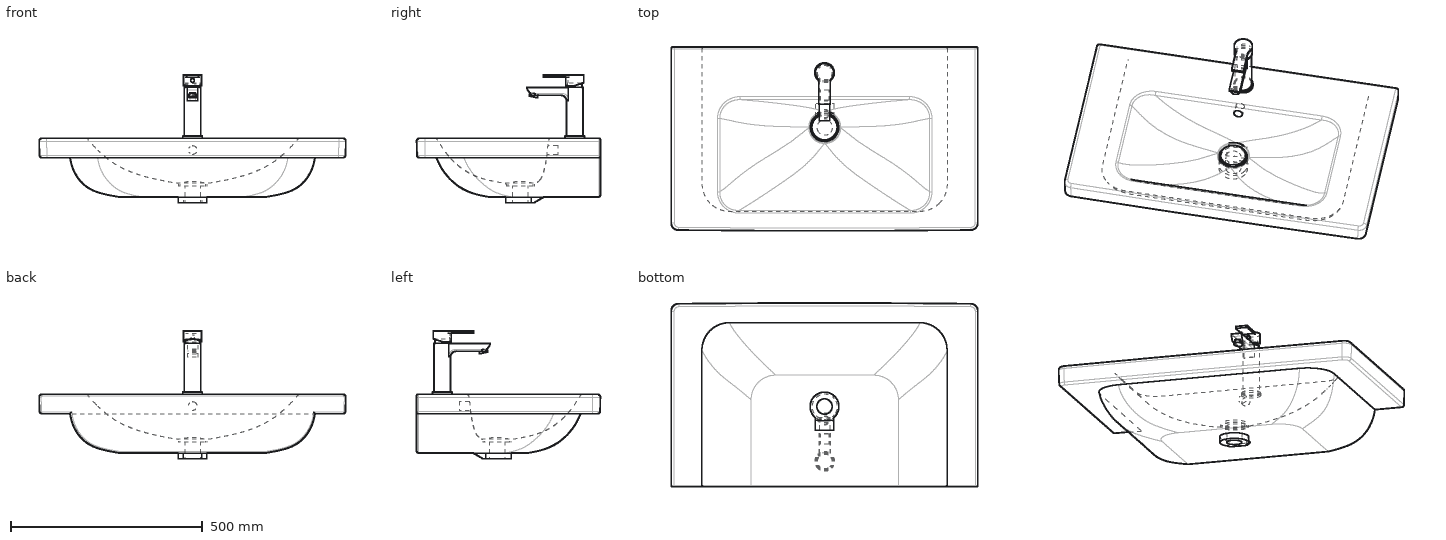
import cadquery as cq
import math


deck_width = 800.0
deck_depth = 480.0
deck_height = 51.0
front_bow = 2.5
deck_corner_radius = 19.0
deck_taper = 1.5
deck_top_round = 8.0
deck_bottom_round = 6.5
wall_edge_round = 5.0

shell_sections = [
    (40.0, 321.0, 432.0, 72.0),
    (90.5, 307.0, 406.5, 72.0),
    (124.0, 280.0, 373.0, 72.0),
    (142.5, 244.0, 338.5, 68.0),
    (154.0, 192.0, 292.0, 64.0),
]
shell_depth = shell_sections[-1][0]

bowl_sections = [
    (0.0, 276.0, 136.0, 428.0, 50.0),
    (32.0, 246.5, 139.0, 408.0, 52.0),
    (64.0, 207.0, 143.0, 380.0, 56.0),
    (88.0, 160.0, 149.0, 348.0, 56.0),
    (104.0, 108.0, 155.0, 312.0, 52.0),
    (117.0, 42.0, 168.0, 251.0, 41.0),
]
bowl_depth = bowl_sections[-1][0]
bowl_rim_round = 8.0

overflow_radius = 11.0
overflow_depth = 30.5
overflow_back = 112.0
overflow_length = 40.0

drain_y = -210.0
drain_boss_radius = 38.0
drain_boss_depth = 169.0
drain_ramp_start = 147.0
drain_ramp_end = 174.0
drain_ramp_width = 48.0
drain_mouth_radius = 37.0
drain_mouth_depth = 7.0
drain_mouth_round = 3.0
drain_hole_radius = 20.0

plug_radius = 33.0
plug_edge_height = 7.0
plug_dome_height = 5.0

tap_y = -67.0
tap_radius = 22.0
tap_height = 132.0
tap_foot_radius = 26.0
tap_foot_height = 6.5
tap_foot_chamfer = 2.0
neck_radius = 19.0

spout_width = 28.0
spout_thickness = 21.0
spout_tip = 193.0
spout_lip_height = 6.5
spout_lip_setback = 2.5
spout_nose_length = 13.0
spout_edge_round = 6.5
spout_root_radius = 14.5

aerator_radius = 11.0
aerator_length = 10.0
aerator_drop = 4.0
aerator_y = -175.0
aerator_tilt = 12.0

handle_radius = 24.0
handle_bottom = 137.0
handle_back_rise = 7.0
handle_top = 165.0
lever_width = 31.0
lever_thickness = 6.0
lever_tip = 150.0
lever_root_round = 8.0
lever_corner_round = 2.5
screw_hole_radius = 5.0
screw_hole_depth = 6.5
screw_hole_z = 150.5

margin = 1.0


def box_between(x_size, back, front, bottom, top):
    """Box centred on X = 0 between two distances from the wall and two heights."""
    return (
        cq.Workplane("XY")
        .box(x_size, front - back, top - bottom, centered=(True, False, False))
        .translate((0, -front, bottom))
    )


def post(radius, y, bottom, top):
    """Upright cylinder on the plane of symmetry."""
    return cq.Workplane("XY", origin=(0, y, bottom)).circle(radius).extrude(top - bottom)


def rounded_section(half_width, back, front, radius, depth):
    """Level rectangle with four rounded corners."""
    section = cq.Sketch().rect(2 * half_width, front - back).vertices().fillet(radius)
    return section.moved(cq.Location(cq.Vector(0, -(back + front) / 2, -depth)))


def behind_wall():
    """Block that fills the space behind the wall plane."""
    return box_between(2 * deck_width, -deck_depth, 0, -deck_depth, deck_depth)


def make_deck():
    overshoot = deck_top_round * math.tan(math.radians(deck_taper))
    half = deck_width / 2 + overshoot
    front = -deck_depth - overshoot
    side_front = front + front_bow
    back_overrun = 40.0
    outline = (
        cq.Workplane("XY")
        .moveTo(-half, back_overrun)
        .lineTo(-half, side_front)
        .threePointArc((0, front), (half, side_front))
        .lineTo(half, back_overrun)
        .close()
    )
    deck = outline.extrude(-deck_height, taper=deck_taper).cut(behind_wall())
    front_corners = cq.selectors.BoxSelector(
        (-deck_width, front - margin, -deck_height + margin), (deck_width, -deck_depth / 2, -margin)
    )
    deck = deck.edges(front_corners).edges("not #Z").fillet(deck_corner_radius)
    deck = deck.faces(">Z").edges("not >Y").fillet(deck_top_round)
    deck = deck.faces("<Z").edges("not >Y").fillet(deck_bottom_round)
    return deck.faces(">Y").edges().fillet(wall_edge_round)


def make_shell():
    """Solid underside, flat where it meets the wall."""
    sections = [
        rounded_section(half_width, -front, front, radius, depth)
        for depth, half_width, front, radius in shell_sections
    ]
    shell = cq.Workplane("XY").placeSketch(*sections).loft().cut(behind_wall())
    return shell.faces(">Y").edges("not >Z").fillet(wall_edge_round)


def make_drain_boss():
    ramp_profile = [
        (-drain_ramp_start, -shell_depth),
        (-drain_ramp_end, -drain_boss_depth),
        (drain_y, -drain_boss_depth),
        (drain_y, -bowl_depth),
        (-drain_ramp_start, -bowl_depth),
    ]
    ramp = cq.Workplane("YZ").polyline(ramp_profile).close().extrude(drain_ramp_width / 2, both=True)
    return post(drain_boss_radius, drain_y, -drain_boss_depth, -bowl_depth).union(ramp)


def make_bowl_hollow():
    sections = [
        rounded_section(half_width, back, front, radius, depth)
        for depth, half_width, back, front, radius in bowl_sections
    ]
    return cq.Workplane("XY").placeSketch(*sections).loft()


def make_overflow():
    return (
        cq.Workplane("XZ", origin=(0, -overflow_back, -overflow_depth))
        .circle(overflow_radius)
        .extrude(overflow_length)
    )


def cut_drain(basin):
    mouth_bottom = -bowl_depth - drain_mouth_depth
    mouth = post(drain_mouth_radius, drain_y, mouth_bottom, -bowl_depth)
    hole = post(drain_hole_radius, drain_y, -drain_boss_depth, mouth_bottom)
    basin = basin.cut(mouth)
    mouth_rim = cq.selectors.BoxSelector(
        (-drain_mouth_radius - margin, drain_y - drain_mouth_radius - margin, -bowl_depth - margin),
        (drain_mouth_radius + margin, drain_y + drain_mouth_radius + margin, -bowl_depth + margin),
        boundingbox=True,
    )
    return basin.edges(mouth_rim).fillet(drain_mouth_round).cut(hole)


def make_basin():
    basin = make_deck().union(make_shell()).union(make_drain_boss()).cut(make_bowl_hollow())
    _, rim_half_width, rim_back, rim_front, _ = bowl_sections[0]
    bowl_rim = cq.selectors.BoxSelector(
        (-rim_half_width - margin, -rim_front - margin, -margin),
        (rim_half_width + margin, -rim_back + margin, margin),
        boundingbox=True,
    )
    basin = basin.edges(bowl_rim).fillet(bowl_rim_round)
    return cut_drain(basin.cut(make_overflow()))


def make_plug():
    """Domed cover with a stem that fills the drain hole."""
    seat = -bowl_depth - drain_mouth_depth
    edge = seat + plug_edge_height
    dome_radius = (plug_radius**2 + plug_dome_height**2) / (2 * plug_dome_height)
    cover = (
        cq.Workplane("XZ", origin=(0, drain_y, 0))
        .moveTo(0, seat)
        .lineTo(plug_radius, seat)
        .lineTo(plug_radius, edge)
        .radiusArc((0, edge + plug_dome_height), -dome_radius)
        .close()
        .revolve(360, (0, 0, 0), (0, 1, 0))
    )
    return cover.union(post(drain_hole_radius, drain_y, -drain_boss_depth, seat))


def make_aerator():
    """Tilted cylinder whose outlet faces down and forward."""
    return (
        cq.Workplane("XY")
        .circle(aerator_radius)
        .extrude(aerator_length)
        .rotate((0, 0, 0), (1, 0, 0), -aerator_tilt)
        .translate((0, aerator_y, tap_height - spout_thickness - aerator_drop))
    )


def make_spout():
    underside = tap_height - spout_thickness
    root = tap_y - tap_radius
    lip = tap_height - spout_lip_height
    profile = (
        cq.Workplane("YZ")
        .moveTo(tap_y, tap_height)
        .lineTo(-spout_tip, tap_height)
        .lineTo(-spout_tip + spout_lip_setback, lip)
        .lineTo(-spout_tip + spout_nose_length, underside)
        .lineTo(root - spout_root_radius, underside)
        .radiusArc((root, underside - spout_root_radius), spout_root_radius)
        .lineTo(tap_y, underside - spout_root_radius)
        .close()
    )
    spout = profile.extrude(spout_width / 2, both=True)
    lower_edges = cq.selectors.BoxSelector(
        (-spout_width, -spout_tip, underside - margin),
        (spout_width, root - spout_root_radius, underside + margin),
    )
    return spout.edges(lower_edges).edges("|Y").fillet(spout_edge_round)


def make_neck():
    """Top of the tap, which the handle's socket fits over."""
    return post(neck_radius, tap_y, tap_height, handle_bottom + handle_back_rise)


def make_tap():
    foot = post(tap_foot_radius, tap_y, 0, tap_foot_height).faces(">Z").chamfer(tap_foot_chamfer)
    column = post(tap_radius, tap_y, 0, tap_height)
    return foot.union(column).union(make_spout()).union(make_neck()).cut(make_aerator())


def make_handle():
    grip = post(handle_radius, tap_y, handle_bottom, handle_top)
    back = tap_y + handle_radius
    back_relief = (
        cq.Workplane("YZ")
        .polyline([(tap_y, handle_bottom), (back, handle_bottom), (back, handle_bottom + handle_back_rise)])
        .close()
        .extrude(handle_radius, both=True)
    )
    lever = box_between(lever_width, -tap_y, lever_tip, handle_top - lever_thickness, handle_top)
    lever = lever.edges("|Z and <Y").fillet(lever_corner_round)
    handle = grip.union(lever)
    lever_root = cq.selectors.BoxSelector(
        (-handle_radius, tap_y - handle_radius, handle_top - lever_thickness + margin),
        (handle_radius, tap_y - handle_radius / 2, handle_top - margin),
    )
    handle = handle.edges(lever_root).edges("|Z").fillet(lever_root_round)
    screw_hole = (
        cq.Workplane("XZ", origin=(0, tap_y - handle_radius + screw_hole_depth, screw_hole_z))
        .circle(screw_hole_radius)
        .extrude(screw_hole_depth)
    )
    return handle.cut(back_relief).cut(screw_hole).cut(make_neck())


basin = make_basin()
plug = make_plug()
tap = make_tap()
aerator = make_aerator()
handle = make_handle()

bodies = [basin, plug, tap, aerator, handle]
result = cq.Compound.makeCompound([body.solids().val() for body in bodies])